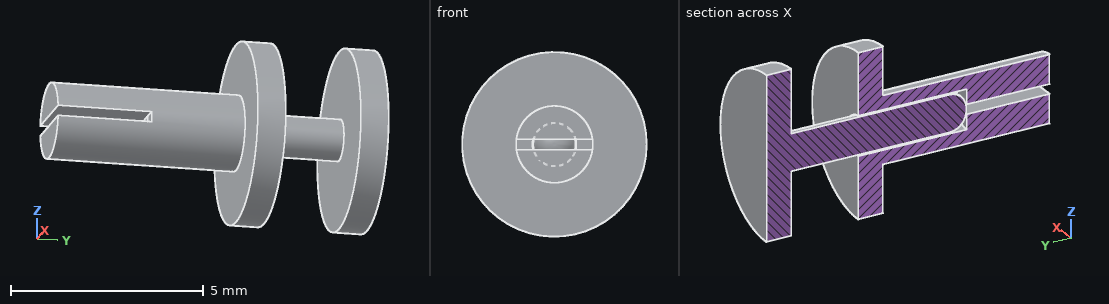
import cadquery as cq

total_length = 8.5
disc_diameter = 4.8
disc_thickness = 0.75

barrel_diameter = 2.0
barrel_length = 5.0
slot_depth = barrel_length / 2
slot_width = 0.27
bore_diameter = 1.15

shaft_diameter = 1.1
tip_fillet_radius = 0.5
tip_y = slot_depth
head_y = total_length - disc_thickness


def cylinder_along_y(diameter, start_y, length):
    """Solid cylinder on the Y axis, running from start_y toward +Y."""
    return cq.Workplane("XZ", origin=(0, start_y, 0)).circle(diameter / 2).extrude(-length)


def make_sleeve():
    barrel = cylinder_along_y(barrel_diameter, 0, barrel_length)
    flange = cylinder_along_y(disc_diameter, barrel_length, disc_thickness)
    bore_length = barrel_length + disc_thickness - slot_depth
    bore = cylinder_along_y(bore_diameter, slot_depth, bore_length)
    slot = cq.Workplane("XY").box(
        barrel_diameter, slot_depth, slot_width, centered=(True, False, True)
    )
    return barrel.union(flange).cut(bore).cut(slot)


def make_pin():
    shaft = cylinder_along_y(shaft_diameter, tip_y, head_y - tip_y)
    shaft = shaft.faces("<Y").edges().fillet(tip_fillet_radius)
    head = cylinder_along_y(disc_diameter, head_y, disc_thickness)
    return shaft.union(head)


sleeve = make_sleeve()
pin = make_pin()

result = cq.Compound.makeCompound([*sleeve.solids().vals(), *pin.solids().vals()])